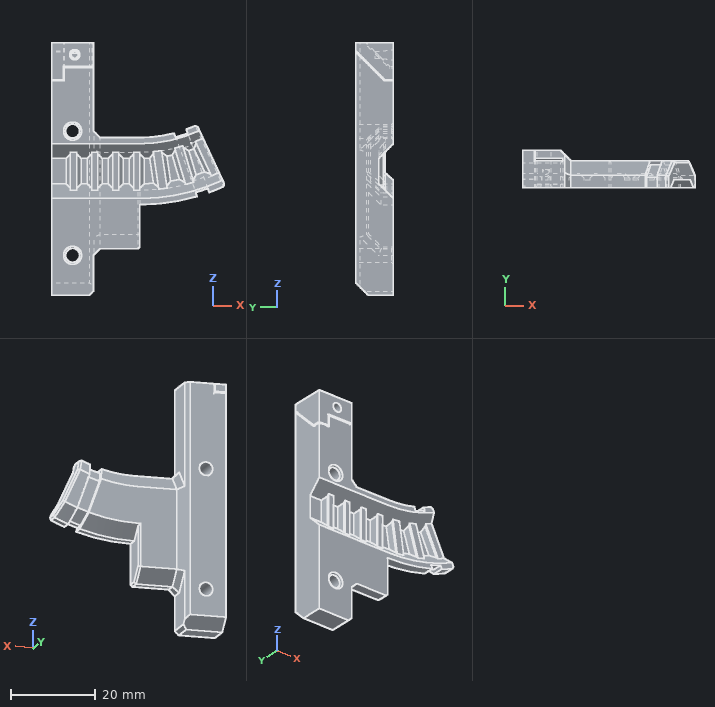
import cadquery as cq
import math


BLOCK_WIDTH = 10.0
BLOCK_DEPTH = 9.0
BLOCK_HEIGHT = 60.0
CORNER_CHAMFER = 1.0
FOOT_CHAMFER = 3.0

ARM_Z = 29.5
ARM_HALF_WIDTH = 8.0
ARM_SIDE_DEPTH = 3.0
ARM_DEPTH = 6.5
STRAIGHT_LENGTH = 21.0
BEND_RADIUS = 40.0
BEND_ANGLE = 25.0
BEND_Z = ARM_Z + BEND_RADIUS
FLARE = 1.5
END_CHAMFER = 0.5

PLATE_BOTTOM = 11.0

CHANNEL_HALF_WIDTH = 6.5
CHANNEL_DEPTH = 3.5

RIB_TOP_DEPTH = 2.0
RIB_SKIRT = 1.05
STRAIGHT_RIB_WIDTH = 1.5
STRAIGHT_RIB_PITCH = 5.0
STRAIGHT_RIB_COUNT = 4
BEND_RIB_WIDTH = 2.0
BEND_RIB_COUNT = 3

BAND_WIDTH = 3.0
BAND_DEPTH = 1.0
BAND_ANGLE = 17.9
BAND_TILT = 20.0

MOUNT_DIAMETER = 3.3
MOUNT_MOUTH_DIAMETER = 4.3
MOUNT_TAPER_LENGTH = 0.5
MOUNT_X = 5.0
MOUNT_TOP_Z = 39.0
MOUNT_SPACING = 29.5

SCREW_X = 5.5
SCREW_Z = 57.15
SCREW_DIAMETER = 1.65
SCREW_MOUTH_DIAMETER = 2.4
SCREW_TAPER_LENGTH = 3.5
SCREW_DEPTH = 4.5

SLIT_LOW_GAP = 0.23
SLIT_HIGH_GAP = 0.35
SLIT_LOW_Z = 51.25
SLIT_LOW_BEND_Y = 2.1
SLIT_STEP_X = 2.75
SLIT_HIGH_Z = 54.35
SLIT_HIGH_BEND_Y = 0.85
SLIT_BRIDGE = 0.5

TAN_HALF_45 = math.tan(math.radians(22.5))


def in_bend(shape, angle):
    """Swing a shape along the arc of the bend."""
    axis_start = (STRAIGHT_LENGTH, 0, BEND_Z)
    axis_end = (STRAIGHT_LENGTH, 1, BEND_Z)
    return shape.rotate(axis_start, axis_end, -angle)


def swept_round_bend(section):
    """Revolve a section standing at the end of the straight stretch."""
    return section.revolve(BEND_ANGLE, (1, BEND_Z), (0, BEND_Z))


def outer_section(x, bottom, top, offset=0.0):
    """Front-flat section with 45 degree back edges, grown outwards by an offset."""
    taper = ARM_DEPTH - ARM_SIDE_DEPTH
    side_depth = ARM_SIDE_DEPTH + offset * TAN_HALF_45
    inset = taper - offset * TAN_HALF_45
    return (
        cq.Workplane("YZ", origin=(x, 0, 0))
        .moveTo(0, bottom - offset)
        .lineTo(side_depth, bottom - offset)
        .lineTo(ARM_DEPTH + offset, bottom + inset)
        .lineTo(ARM_DEPTH + offset, top - inset)
        .lineTo(side_depth, top + offset)
        .lineTo(0, top + offset)
        .close()
    )


def arm_section(x, offset=0.0):
    return outer_section(x, ARM_Z - ARM_HALF_WIDTH, ARM_Z + ARM_HALF_WIDTH, offset)


def plate_section(x, offset=0.0):
    return outer_section(x, PLATE_BOTTOM, ARM_Z + ARM_HALF_WIDTH, offset)


def loft_between(first, second):
    """Straight-sided solid between two sections."""
    wires = [first.wires().val(), second.wires().val()]
    return cq.Workplane(cq.Solid.makeLoft(wires, True))


def make_block():
    block = cq.Workplane().box(BLOCK_WIDTH, BLOCK_DEPTH, BLOCK_HEIGHT, centered=False)
    block = block.edges("|Z and >X and >Y").chamfer(CORNER_CHAMFER)
    block = block.edges("<Z and >X and |Y").chamfer(CORNER_CHAMFER)
    foot = (
        cq.Workplane("YZ")
        .moveTo(BLOCK_DEPTH, 0)
        .lineTo(BLOCK_DEPTH, FOOT_CHAMFER)
        .lineTo(BLOCK_DEPTH - FOOT_CHAMFER, 0)
        .close()
        .extrude(BLOCK_WIDTH)
    )
    return block.cut(foot)


def make_plate():
    """Plate and straight arm, flared into the block and chamfered at the far end."""
    flare_end = BLOCK_WIDTH + FLARE
    chamfer_start = STRAIGHT_LENGTH - END_CHAMFER
    flare = loft_between(plate_section(BLOCK_WIDTH, FLARE), plate_section(flare_end))
    plate = plate_section(flare_end).extrude(chamfer_start - flare_end)
    tip = loft_between(plate_section(chamfer_start), plate_section(STRAIGHT_LENGTH, -END_CHAMFER))
    straight_arm = arm_section(flare_end).extrude(STRAIGHT_LENGTH - flare_end)
    return flare.union(plate).union(tip).union(straight_arm)


def make_bend():
    bend = swept_round_bend(arm_section(STRAIGHT_LENGTH))
    bend = bend.faces(">X").edges("not <Y").chamfer(END_CHAMFER)
    core = swept_round_bend(arm_section(STRAIGHT_LENGTH, -BAND_DEPTH))
    band = cq.Workplane().box(BAND_WIDTH, 3 * ARM_DEPTH, 3 * ARM_HALF_WIDTH)
    band = band.rotate((0, 0, 0), (0, 1, 0), BAND_ANGLE - BAND_TILT)
    band = in_bend(band.translate((STRAIGHT_LENGTH, 0, ARM_Z)), BAND_ANGLE)
    return bend.cut(band.cut(core))


def channel_section(x):
    floor_half_width = CHANNEL_HALF_WIDTH - CHANNEL_DEPTH
    return (
        cq.Workplane("YZ", origin=(x, 0, 0))
        .moveTo(0, ARM_Z - CHANNEL_HALF_WIDTH)
        .lineTo(CHANNEL_DEPTH, ARM_Z - floor_half_width)
        .lineTo(CHANNEL_DEPTH, ARM_Z + floor_half_width)
        .lineTo(0, ARM_Z + CHANNEL_HALF_WIDTH)
        .close()
    )


def make_channel():
    straight = channel_section(0).extrude(STRAIGHT_LENGTH)
    return straight.union(swept_round_bend(channel_section(STRAIGHT_LENGTH)))


def make_rib(width):
    """Rib whose right side stands at the end of the straight stretch."""
    right = STRAIGHT_LENGTH
    left = right - width
    skirt_depth = CHANNEL_DEPTH - RIB_SKIRT
    return (
        cq.Workplane("XY", origin=(0, 0, ARM_Z - CHANNEL_HALF_WIDTH))
        .moveTo(left - RIB_SKIRT, CHANNEL_DEPTH)
        .lineTo(left, skirt_depth)
        .lineTo(left, RIB_TOP_DEPTH)
        .lineTo(right, RIB_TOP_DEPTH)
        .lineTo(right, skirt_depth)
        .lineTo(right + RIB_SKIRT, CHANNEL_DEPTH)
        .close()
        .extrude(2 * CHANNEL_HALF_WIDTH)
    )


def cut_channel(body):
    """Cut the channel but leave the ribs standing on its floor."""
    channel = make_channel()
    for index in range(STRAIGHT_RIB_COUNT):
        rib = make_rib(STRAIGHT_RIB_WIDTH)
        channel = channel.cut(rib.translate((-index * STRAIGHT_RIB_PITCH, 0, 0)))
    for index in range(1, BEND_RIB_COUNT + 1):
        angle = BEND_ANGLE * index / BEND_RIB_COUNT
        channel = channel.cut(in_bend(make_rib(BEND_RIB_WIDTH), angle))
    return body.cut(channel)


def cut_front_hole(body, x, z, diameter, depth, mouth_diameter, taper_length):
    """Drill from the front face, with a taper that widens to the mouth."""
    hole = cq.Workplane("XZ", origin=(x, 0, z)).circle(diameter / 2).extrude(-depth)
    taper = cq.Solid.makeCone(
        mouth_diameter / 2,
        diameter / 2,
        taper_length,
        cq.Vector(x, 0, z),
        cq.Vector(0, 1, 0),
    )
    return body.cut(hole).cut(cq.Workplane(taper))


def cut_mount_holes(body):
    for z in (MOUNT_TOP_Z, MOUNT_TOP_Z - MOUNT_SPACING):
        body = cut_front_hole(
            body, MOUNT_X, z, MOUNT_DIAMETER, BLOCK_DEPTH, MOUNT_MOUTH_DIAMETER, MOUNT_TAPER_LENGTH
        )
    return body


def cut_screw_hole(body):
    return cut_front_hole(
        body, SCREW_X, SCREW_Z, SCREW_DIAMETER, SCREW_DEPTH, SCREW_MOUTH_DIAMETER, SCREW_TAPER_LENGTH
    )


def region_above(start_x, end_x, front_z, bend_y):
    """Space above a level ledge that turns into a 45 degree slope at bend_y."""
    back_z = front_z + BLOCK_DEPTH - bend_y
    roof = BLOCK_HEIGHT + BLOCK_DEPTH
    return (
        cq.Workplane("YZ", origin=(start_x, 0, 0))
        .moveTo(0, front_z)
        .lineTo(bend_y, front_z)
        .lineTo(BLOCK_DEPTH, back_z)
        .lineTo(BLOCK_DEPTH, roof)
        .lineTo(0, roof)
        .close()
        .extrude(end_x - start_x)
    )


def stepped_region(low_gap, high_gap):
    """Space above the stepped surface, whose two levels are shifted outwards by their gaps."""
    low_bend_y = SLIT_LOW_BEND_Y + low_gap * TAN_HALF_45
    high_bend_y = SLIT_HIGH_BEND_Y + high_gap * TAN_HALF_45
    left = region_above(0, SLIT_STEP_X + low_gap, SLIT_LOW_Z - low_gap, low_bend_y)
    right = region_above(SLIT_STEP_X, BLOCK_WIDTH, SLIT_HIGH_Z - high_gap, high_bend_y)
    return left.union(right)


def cut_slit(body):
    slit = stepped_region(SLIT_LOW_GAP, SLIT_HIGH_GAP).cut(stepped_region(0, 0))
    corner_bridge = cq.Workplane().box(SLIT_BRIDGE, SLIT_BRIDGE, BLOCK_HEIGHT, centered=False)
    side_bridge = (
        cq.Workplane()
        .box(SLIT_BRIDGE, BLOCK_DEPTH, 2 * BLOCK_HEIGHT, centered=False)
        .translate((BLOCK_WIDTH - SLIT_BRIDGE, 0, 0))
    )
    return body.cut(slit.cut(corner_bridge).cut(side_bridge))


body = make_block().union(make_plate()).union(make_bend())
body = cut_channel(body)
body = cut_mount_holes(body)
body = cut_screw_hole(body)
result = cut_slit(body)